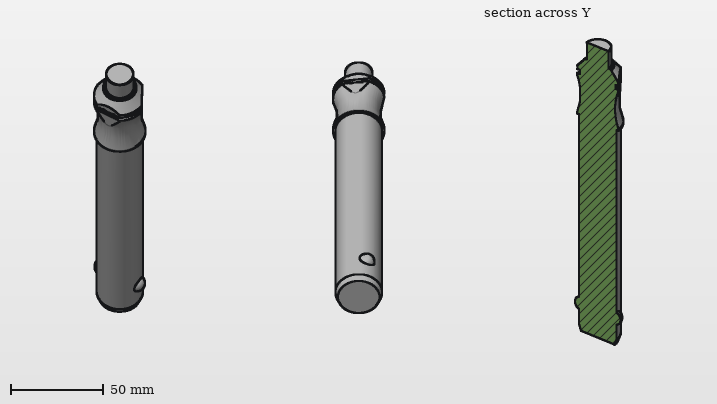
import cadquery as cq
import math

total_length = 192.06

shank_radius = 12.7
tip_radius = 11.3
tip_taper_height = 4.0

rim_radius = 14.0
rim_thickness = 1.0
waist_radius = 11.7
grip_top = 169.2
grip_length = 27.0
grip_bottom = grip_top - grip_length
waist_height = (grip_top + grip_bottom) / 2

groove_radius = 12.0
groove_width = 2.4
cap_bottom = grip_top + groove_width
cap_band_height = 2.3
cap_top = 180.7
cap_shoulder_radius = 9.1
cap_top_radius = 8.2
cap_edge_drop = 0.55

button_radius = 7.5
button_chamfer = 0.3

flat_distance = 12.0
flat_count = 3
first_flat_angle = -90.0

ball_radius = 4.5
ball_span = 30.8
ball_height = 17.9


def grip_radius_at(offset):
    """Grip radius at an axial offset from the waist, on the concave arc from rim to rim."""
    half_chord = grip_length / 2 - rim_thickness
    sag = rim_radius - waist_radius
    arc_radius = (half_chord**2 + sag**2) / (2 * sag)
    return waist_radius + arc_radius - math.sqrt(arc_radius**2 - offset**2)


def make_shank():
    """Plain cylinder with a tapered tip, running up to the underside of the grip."""
    return (
        cq.Workplane("XZ")
        .moveTo(0, 0)
        .lineTo(tip_radius, 0)
        .lineTo(shank_radius, tip_taper_height)
        .lineTo(shank_radius, grip_bottom)
        .lineTo(0, grip_bottom)
        .close()
        .revolve(360, (0, 0, 0), (0, 1, 0))
    )


def make_head():
    """Waisted grip, groove and conical cap as one turned profile."""
    lower_arc_end = grip_bottom + rim_thickness
    upper_arc_end = grip_top - rim_thickness
    quarter_offset = (upper_arc_end - waist_height) / 2
    quarter_radius = grip_radius_at(quarter_offset)
    return (
        cq.Workplane("XZ")
        .moveTo(0, grip_bottom)
        .lineTo(rim_radius, grip_bottom)
        .lineTo(rim_radius, lower_arc_end)
        .threePointArc((quarter_radius, waist_height - quarter_offset), (waist_radius, waist_height))
        .threePointArc((quarter_radius, waist_height + quarter_offset), (rim_radius, upper_arc_end))
        .lineTo(rim_radius, grip_top)
        .lineTo(groove_radius, grip_top)
        .lineTo(groove_radius, cap_bottom)
        .lineTo(rim_radius, cap_bottom)
        .lineTo(rim_radius, cap_bottom + cap_band_height)
        .lineTo(cap_shoulder_radius, cap_top - cap_edge_drop)
        .lineTo(cap_top_radius, cap_top)
        .lineTo(0, cap_top)
        .close()
        .revolve(360, (0, 0, 0), (0, 1, 0))
    )


def cut_flats(head):
    """Mill the flats from the waist upwards, leaving the lower rim round."""
    cutter_height = cap_top - waist_height
    cutter_size = 2 * rim_radius
    cutter = cq.Workplane("XY").box(
        cutter_size, cutter_size, cutter_height, centered=(False, True, False)
    ).translate((flat_distance, 0, waist_height))
    for index in range(flat_count):
        angle = first_flat_angle + index * 360 / flat_count
        head = head.cut(cutter.rotate((0, 0, 0), (0, 0, 1), angle))
    return head


def make_button():
    """Release button standing on the cap."""
    return (
        cq.Workplane("XY")
        .workplane(offset=cap_top)
        .circle(button_radius)
        .extrude(total_length - cap_top)
        .faces(">Z")
        .chamfer(button_chamfer)
    )


def make_ball(side):
    """Locking ball on the +X (side = 1) or -X (side = -1) flank of the shank."""
    center_x = side * (ball_span / 2 - ball_radius)
    return cq.Workplane("XY").sphere(ball_radius).translate((center_x, 0, ball_height))


result = make_shank().union(cut_flats(make_head())).union(make_button())
for side in (-1, 1):
    result = result.union(make_ball(side))